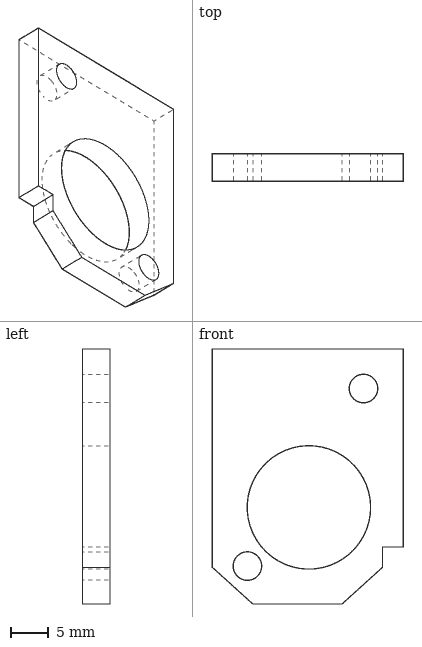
import cadquery as cq

width = 25.3
thickness = 3.7
height = 33.8

step_width = 2.75
step_height = 7.55

chamfer_width = 5.37
chamfer_height = 4.87

bore_diameter = 16.33
bore_center = (12.8, 12.8)
screw_hole_diameter = 3.75
screw_hole_centers = [(4.65, 5.05), (20.05, 28.55)]

lower_right = width - step_width

outline = [
    (chamfer_width, 0),
    (lower_right - chamfer_width, 0),
    (lower_right, chamfer_height),
    (lower_right, step_height),
    (width, step_height),
    (width, height),
    (0, height),
    (0, chamfer_height),
]
plate = cq.Workplane("XZ").polyline(outline).close().extrude(-thickness)


def through_holes(diameter, centers):
    """Cylinders that pass through the full plate thickness."""
    return cq.Workplane("XZ").pushPoints(centers).circle(diameter / 2).extrude(-thickness)


bore = through_holes(bore_diameter, [bore_center])
screw_holes = through_holes(screw_hole_diameter, screw_hole_centers)

result = plate.cut(bore).cut(screw_holes)